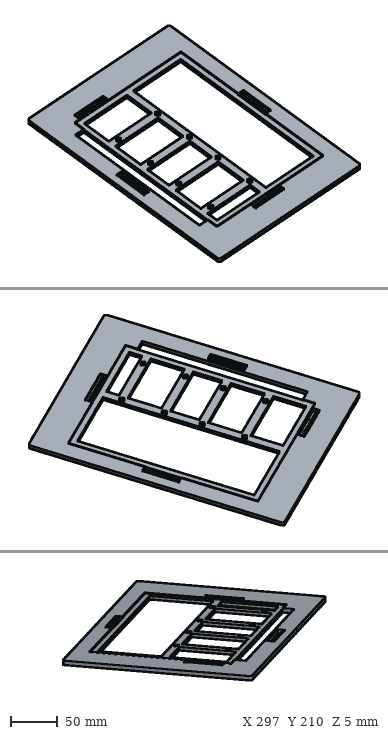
import cadquery as cq

PLATE_X = 297.0
PLATE_Y = 210.0
PLATE_Z = 5.0
CORNER_RADIUS = 3.0

RECESS_X = 220.0
RECESS_DEPTH = 1.0
RECESS_TOP = 85.5
RIM = 7.5
LOWER_RIM = 7.0

WIDE_WINDOW_Y = 70.0
CROSS_RIB_Y = 9.5
ROW_WINDOW_Y = 63.0
RIB_X = 10.5
RIB_CENTRES = (-59.7, -10.5, 33.5, 83.0)

HOLE_DIAMETER = 2.5
BORE_DIAMETER = 5.5
BORE_DEPTH = 1.0
UPPER_HOLE_Y = 3.0
HOLE_PITCH_Y = 58.0

LOWER_OPENING_X = 192.0
LOWER_OPENING_Y = 12.5

SLOT_LENGTH = 42.2
SLOT_WIDTH = 7.7
LEDGE_WIDTH = 3.3
LEDGE_DEPTH = 2.0
SIDE_SLOT_OUTER_X = 118.5
UPPER_SLOT_OUTER_Y = 93.0
LOWER_SLOT_OUTER_Y = 94.7
RIGHT_SLOT_Y = -1.2
LEFT_SLOT_Y = -42.8

WINDOW_X = RECESS_X - 2 * RIM
WIDE_WINDOW_TOP = RECESS_TOP - RIM
ROW_WINDOW_TOP = WIDE_WINDOW_TOP - WIDE_WINDOW_Y - CROSS_RIB_Y
RECESS_BOTTOM = ROW_WINDOW_TOP - ROW_WINDOW_Y - LOWER_RIM


def pocket(left, right, bottom, top, depth):
    """Rectangular block reaching from the top face down by depth."""
    return cq.Workplane("XY").box(right - left, top - bottom, depth, centered=False).translate(
        (left, bottom, PLATE_Z - depth)
    )


def stepped_slot(outer_edge, offset, angle):
    """Slot on the +X side, offset along its own length, then turned about Z."""
    low = offset - SLOT_LENGTH / 2
    high = offset + SLOT_LENGTH / 2
    inner_edge = outer_edge - SLOT_WIDTH
    gap = pocket(inner_edge, outer_edge - LEDGE_WIDTH, low, high, PLATE_Z)
    ledge = pocket(inner_edge, outer_edge, low, high, LEDGE_DEPTH)
    return gap.union(ledge).rotate((0, 0, 0), (0, 0, 1), angle)


plate = cq.Workplane("XY").box(PLATE_X, PLATE_Y, PLATE_Z, centered=(True, True, False))
plate = plate.edges("|Z").fillet(CORNER_RADIUS)

plate = plate.cut(pocket(-RECESS_X / 2, RECESS_X / 2, RECESS_BOTTOM, RECESS_TOP, RECESS_DEPTH))
plate = plate.cut(
    pocket(
        -LOWER_OPENING_X / 2,
        LOWER_OPENING_X / 2,
        RECESS_BOTTOM - LOWER_OPENING_Y,
        RECESS_BOTTOM,
        PLATE_Z,
    )
)

plate = plate.cut(
    pocket(-WINDOW_X / 2, WINDOW_X / 2, WIDE_WINDOW_TOP - WIDE_WINDOW_Y, WIDE_WINDOW_TOP, PLATE_Z)
)
window_lefts = [-WINDOW_X / 2] + [centre + RIB_X / 2 for centre in RIB_CENTRES]
window_rights = [centre - RIB_X / 2 for centre in RIB_CENTRES] + [WINDOW_X / 2]
for left, right in zip(window_lefts, window_rights):
    plate = plate.cut(pocket(left, right, ROW_WINDOW_TOP - ROW_WINDOW_Y, ROW_WINDOW_TOP, PLATE_Z))

plate = plate.cut(stepped_slot(SIDE_SLOT_OUTER_X, RIGHT_SLOT_Y, 0))
plate = plate.cut(stepped_slot(UPPER_SLOT_OUTER_Y, 0, 90))
plate = plate.cut(stepped_slot(SIDE_SLOT_OUTER_X, -LEFT_SLOT_Y, 180))
plate = plate.cut(stepped_slot(LOWER_SLOT_OUTER_Y, 0, 270))

hole_points = [(x, y) for x in RIB_CENTRES for y in (UPPER_HOLE_Y, UPPER_HOLE_Y - HOLE_PITCH_Y)]
holes = cq.Workplane("XY").pushPoints(hole_points).circle(HOLE_DIAMETER / 2).extrude(PLATE_Z)
bore_floor = PLATE_Z - RECESS_DEPTH - BORE_DEPTH
bores = cq.Workplane("XY", origin=(0, 0, bore_floor)).pushPoints(hole_points)
bores = bores.circle(BORE_DIAMETER / 2).extrude(BORE_DEPTH)

result = plate.cut(holes).cut(bores)